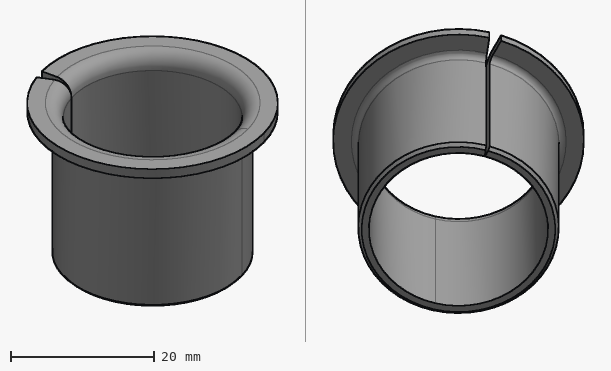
import cadquery as cq
import math

flange_radius = 17.5
height = 25.0
flange_thickness = 1.5
bore_radius = 12.5
wall = 1.5
lip_radius = 2.5
foot_chamfer = 0.5

split_direction = 182.0
split_angle = 19.2
split_tip_radius = 12.45

body_radius = bore_radius + wall
fillet_radius = lip_radius - flange_thickness
bend_height = height - lip_radius


def arc_middle(centre_x, centre_z, radius):
    """Midpoint of a quarter arc that bulges towards -X and +Z."""
    offset = radius * math.sqrt(0.5)
    return (centre_x - offset, centre_z + offset)


def bushing():
    """Flanged sleeve revolved about Z."""
    lip_edge = bore_radius + lip_radius
    fillet_edge = body_radius + fillet_radius
    profile = (
        cq.Workplane("XZ")
        .moveTo(bore_radius, 0)
        .lineTo(body_radius - foot_chamfer, 0)
        .lineTo(body_radius, foot_chamfer)
        .lineTo(body_radius, bend_height)
        .threePointArc(
            arc_middle(fillet_edge, bend_height, fillet_radius),
            (fillet_edge, bend_height + fillet_radius),
        )
        .lineTo(flange_radius, height - flange_thickness)
        .lineTo(flange_radius, height)
        .lineTo(lip_edge, height)
        .threePointArc(arc_middle(lip_edge, bend_height, lip_radius), (bore_radius, bend_height))
        .close()
    )
    return profile.revolve(360, (0, 0, 0), (0, 1, 0))


def split_wedge():
    """Full-height wedge, narrowing to its tip at the bore."""
    reach = 1.1 * flange_radius
    half_width = (reach - split_tip_radius) * math.tan(math.radians(split_angle / 2))
    wedge = (
        cq.Workplane("XY")
        .polyline([(split_tip_radius, 0), (reach, half_width), (reach, -half_width)])
        .close()
        .extrude(height)
    )
    return wedge.rotate((0, 0, 0), (0, 0, 1), split_direction)


result = bushing().cut(split_wedge())